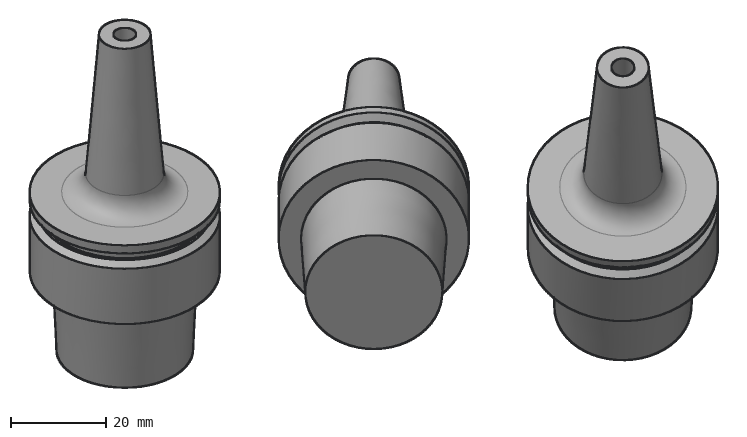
import cadquery as cq
import math

total_height = 80.0
collar_bottom = 20.0
collar_top = 40.0

shank_top_radius = 15.3
shank_end_radius = 14.4

collar_radius = 20.0
rim_thickness = 2.1
groove_radius = 17.5
groove_floor_width = 1.8
flank_depth = 1.8
flank_angle = math.radians(60)
flank_height = flank_depth / math.tan(flank_angle)
flank_inner_radius = collar_radius - flank_depth

nose_tip_radius = 5.4
nose_half_angle = math.radians(4.5)
blend_radius = 5.0

bore_diameter = 4.8
bore_depth = 16.0

groove_top = collar_top - rim_thickness
floor_top = groove_top - flank_height
floor_bottom = floor_top - groove_floor_width
groove_bottom = floor_bottom - flank_height

blend_top = collar_top + blend_radius * (1 - math.sin(nose_half_angle))
nose_base_radius = nose_tip_radius + (total_height - blend_top) * math.tan(nose_half_angle)
blend_foot_radius = nose_base_radius + blend_radius * math.cos(nose_half_angle)


def blend_point(angle):
    """Point on the blend arc at an angle below the horizontal, seen from its centre."""
    radius = blend_foot_radius - blend_radius * math.cos(angle)
    height = collar_top + blend_radius * (1 - math.sin(angle))
    return (radius, height)


blend_middle = blend_point((nose_half_angle + math.pi / 2) / 2)

body = (
    cq.Workplane("XZ")
    .moveTo(0, 0)
    .lineTo(shank_end_radius, 0)
    .lineTo(shank_top_radius, collar_bottom)
    .lineTo(collar_radius, collar_bottom)
    .lineTo(collar_radius, groove_bottom)
    .lineTo(flank_inner_radius, floor_bottom)
    .lineTo(groove_radius, floor_bottom)
    .lineTo(groove_radius, floor_top)
    .lineTo(flank_inner_radius, floor_top)
    .lineTo(collar_radius, groove_top)
    .lineTo(collar_radius, collar_top)
    .lineTo(blend_foot_radius, collar_top)
    .threePointArc(blend_middle, (nose_base_radius, blend_top))
    .lineTo(nose_tip_radius, total_height)
    .lineTo(0, total_height)
    .close()
    .revolve(360, (0, 0, 0), (0, 1, 0))
)

result = body.faces(">Z").workplane().hole(bore_diameter, bore_depth)